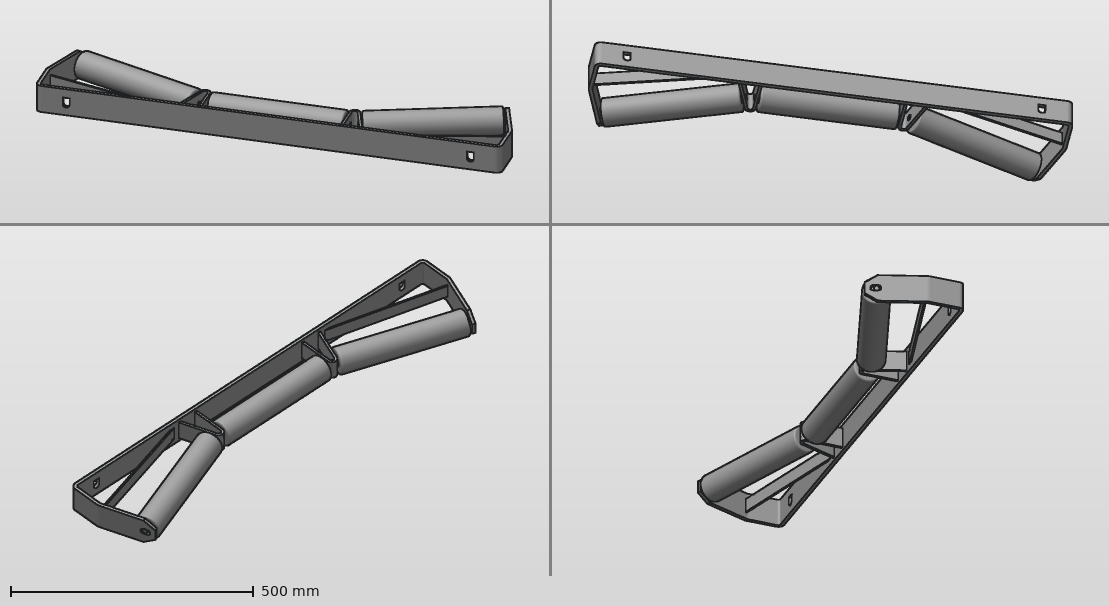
import cadquery as cq
import math

frame_length = 1000.0
strip_width = 60.0
frame_thickness = 8.0
frame_depth = 205.0
bend_height = 81.0
corner_radius = 13.0
lean_radius = 19.0
lean_angle = 20.0
tip_cut_length = 27.0
tip_cut_width = 17.0
mount_hole_x = 434.0
mount_hole_width = 15.0
mount_hole_bottom = 18.0
mount_hole_top = 40.0

bracket_thickness = 6.0
bracket_inner_x = 149.0
bracket_top = 96.0
bracket_width = 44.0

strut_thickness = 4.0
strut_height = 30.0
strut_foot_x = 213.0
strut_head_y = 85.0

roller_length = 290.0
roller_radius = 30.0
roller_rounding = 4.0
roller_drop = 2.0
hub_radius = 12.0
hub_length = 3.0
shaft_radius = 6.0
middle_roller_y = 72.0
tip_to_axis = 25.0
tip_to_slot = 23.0
end_slot_length = 22.0
end_slot_width = 13.0

lean = math.radians(lean_angle)
half_length = frame_length / 2
mid_z = strip_width / 2
along = cq.Vector(math.sin(lean), math.cos(lean), 0)
inward = cq.Vector(math.cos(lean), -math.sin(lean), 0)
bend_point = cq.Vector(-half_length, bend_height, 0)
tip_point = bend_point + along * ((frame_depth - bend_height) / math.cos(lean))
roller_space = 2 * bracket_inner_x
shaft_length = roller_space + 2 * bracket_thickness
end_axis_point = tip_point - along * tip_to_axis
side_roller_centre = end_axis_point + inward * (frame_thickness + roller_space / 2)
bracket_lean_point = side_roller_centre + inward * (roller_space / 2)
bracket_bend_radius = (
    -bracket_inner_x * inward.x + bracket_top * inward.y - bracket_lean_point.dot(inward)
) / (1 + inward.x + inward.y)
end_slot_point = tip_point - along * tip_to_slot
roller_tilt = math.degrees(math.asin(roller_drop / roller_space))


def polygon(points):
    return cq.Workplane("XY").polyline([(p.x, p.y) for p in points]).close()


def mirrored(body):
    return body.mirror("YZ")


def lean_plane(point):
    """Plane through a point, facing along a side roller, its local X along the leaning end."""
    return cq.Plane(origin=(point.x, point.y, mid_z), xDir=along.toTuple(), normal=inward.toTuple())


def make_roller():
    """Roller lying along X, centred on the origin, with its hubs and shaft."""

    def centred_cylinder(radius, length):
        return cq.Workplane("YZ", origin=(-length / 2, 0, 0)).circle(radius).extrude(length)

    drum = centred_cylinder(roller_radius, roller_length).edges("%CIRCLE").fillet(roller_rounding)
    hubs = centred_cylinder(hub_radius, roller_length + 2 * hub_length)
    shaft = centred_cylinder(shaft_radius, shaft_length)
    return drum.union(hubs).union(shaft)


def make_middle_roller():
    return make_roller().translate((0, middle_roller_y, mid_z - roller_drop))


def make_side_roller():
    """Left roller: leans down towards the bracket and sinks slightly at that end."""
    roller = make_roller().rotate((0, 0, 0), (0, 1, 0), roller_tilt)
    roller = roller.rotate((0, 0, 0), (0, 0, 1), -lean_angle)
    return roller.translate((side_roller_centre.x, side_roller_centre.y, mid_z - roller_drop / 2))


def make_mount_hole():
    """Cutter for the left mounting hole: flat top, round bottom."""
    left = -mount_hole_x - mount_hole_width / 2
    right = -mount_hole_x + mount_hole_width / 2
    arc_end_z = mount_hole_bottom + mount_hole_width / 2
    return (
        cq.Workplane("XZ")
        .moveTo(left, mount_hole_top)
        .lineTo(left, arc_end_z)
        .threePointArc((-mount_hole_x, mount_hole_bottom), (right, arc_end_z))
        .lineTo(right, mount_hole_top)
        .close()
        .extrude(-frame_thickness)
    )


def make_half_frame():
    """Left half of the frame, up to the plane x = 0."""
    t = frame_thickness
    inner_bend = bend_point + cq.Vector(t, -t * math.tan(lean / 2), 0)
    outer_corner = cq.Vector(-half_length, 0, 0)
    inner_corner = outer_corner + cq.Vector(t, t, 0)
    outline = [
        cq.Vector(0, 0, 0),
        outer_corner,
        bend_point,
        tip_point,
        tip_point + inward * t,
        inner_bend,
        inner_corner,
        cq.Vector(0, t, 0),
    ]
    half = polygon(outline).extrude(strip_width)

    def round_bend(body, outer, inner, radius):
        for corner, size in ((outer, radius), (inner, radius - t)):
            near = cq.selectors.NearestToPointSelector((corner.x, corner.y, mid_z))
            body = body.edges("|Z").edges(near).fillet(size)
        return body

    half = round_bend(half, outer_corner, inner_corner, corner_radius)
    half = round_bend(half, bend_point, inner_bend, lean_radius)

    for side in (-1, 1):
        corner = (
            cq.Workplane(lean_plane(tip_point))
            .moveTo(0, side * mid_z)
            .lineTo(-tip_cut_length, side * mid_z)
            .lineTo(0, side * (mid_z - tip_cut_width))
            .close()
            .extrude(t)
        )
        half = half.cut(corner)

    end_slot = cq.Workplane(lean_plane(end_slot_point)).slot2D(end_slot_length, end_slot_width).extrude(t)
    return half.cut(end_slot).cut(make_mount_hole())


def make_frame():
    half = make_half_frame()
    return half.union(mirrored(half))


def make_bracket():
    """Left bracket: an upright leg and a leaning leg joined by a round fold."""

    def fold(radius):
        x = -bracket_inner_x - bracket_bend_radius
        y = bracket_top - bracket_bend_radius
        centre = cq.Vector(x, y, 0)
        lean_top = centre - inward * radius
        lean_foot = lean_top - along * ((lean_top.y - frame_thickness) / math.cos(lean))
        crown = centre + cq.Vector(0, radius, 0)
        upright_top = centre + cq.Vector(radius, 0, 0)
        return (
            cq.Workplane("XY")
            .moveTo(lean_foot.x, lean_foot.y)
            .lineTo(lean_top.x, lean_top.y)
            .threePointArc((crown.x, crown.y), (upright_top.x, upright_top.y))
            .lineTo(upright_top.x, frame_thickness)
            .close()
            .extrude(bracket_width)
            .translate((0, 0, mid_z - bracket_width / 2))
        )

    return fold(bracket_bend_radius).cut(fold(bracket_bend_radius - bracket_thickness))


def make_strut():
    """Left strut: from the inside of the frame's bend down to the long bar."""
    foot = cq.Vector(-strut_foot_x, frame_thickness, 0)
    head = cq.Vector(-half_length + frame_thickness, strut_head_y, 0)
    run = (foot - head).normalized()
    foot_width = strut_thickness / abs(run.y)
    head_width = strut_thickness / run.x
    outline = [
        foot,
        foot - cq.Vector(foot_width, 0, 0),
        head - cq.Vector(0, head_width, 0),
        head,
    ]
    return polygon(outline).extrude(strut_height).translate((0, 0, mid_z - strut_height / 2))


frame = make_frame()
middle_roller = make_middle_roller()
side_roller = make_side_roller()
bracket = make_bracket().cut(middle_roller).cut(side_roller)
strut = make_strut().cut(frame)

bodies = [frame.val(), middle_roller.val()]
for left_body in (side_roller, bracket, strut):
    bodies.append(left_body.val())
    bodies.append(mirrored(left_body).val())

result = cq.Compound.makeCompound(bodies)